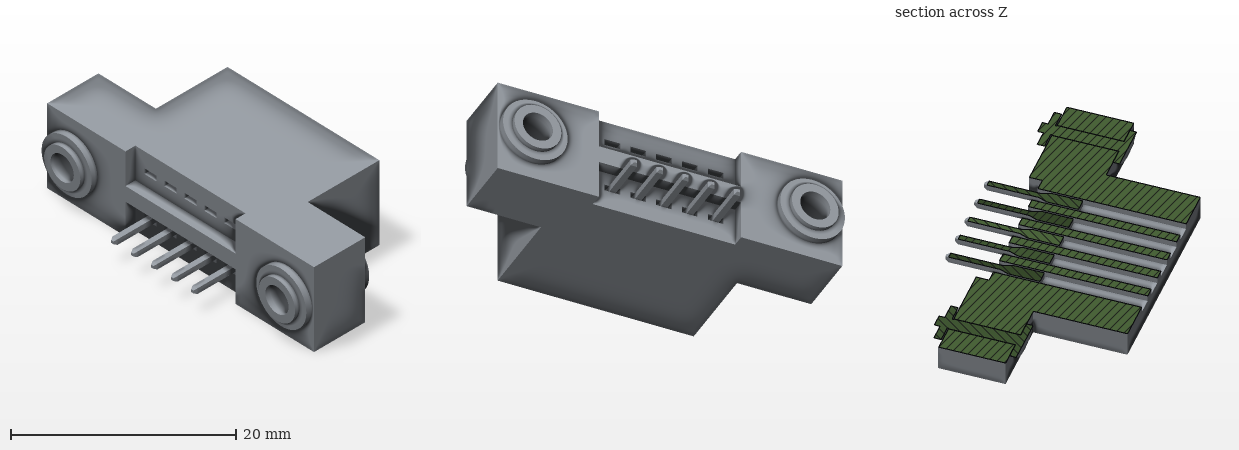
import cadquery as cq

flange_width = 33.91
flange_depth = 6.35
housing_height = 9.4
block_width = 19.3
housing_depth = 15.22

recess_width = 14.0
recess_depth = 1.22
rib_height = 1.74

contact_count = 5
contact_pitch = 2.54
row_offset = 2.5
slot_width = 1.55
slot_height = 0.62

pin_width = 0.62
pin_height = slot_height
pin_reach = 3.5
pin_tip_length = 0.33
pin_tip_size = 0.3
blade_width = 1.27
blade_length = 3.0
shoulder_inset = 0.5
shoulder_start = recess_depth + shoulder_inset
shoulder_length = 0.85

bushing_spacing = 27.3
bushing_collar_diameter = 6.35
bushing_barrel_diameter = 4.6
bushing_bore_diameter = 2.95
rear_collar_thickness = 0.62
front_collar_gap = 0.1
front_collar_thickness = 0.72
bushing_front_reach = 1.36

contact_xs = [(i - (contact_count - 1) / 2) * contact_pitch for i in range(contact_count)]
bushing_xs = [-bushing_spacing / 2, bushing_spacing / 2]


def block(width, height, front_y, back_y, x=0, z=0):
    """Box centred on (x, z) that spans front_y to back_y."""
    return (
        cq.Workplane("XY")
        .box(width, back_y - front_y, height)
        .translate((x, (front_y + back_y) / 2, z))
    )


def cylinder(diameter, front_y, back_y, x):
    """Cylinder along Y at mid height, from front_y to back_y."""
    return (
        cq.Workplane("XZ", origin=(x, front_y, 0))
        .circle(diameter / 2)
        .extrude(front_y - back_y)
    )


def make_housing():
    body = block(flange_width, housing_height, 0, flange_depth)
    body = body.union(block(block_width, housing_height, 0, housing_depth))

    recess_height = (housing_height - rib_height) / 2
    recess_z = (housing_height + rib_height) / 4
    for side in (1, -1):
        body = body.cut(block(recess_width, recess_height, 0, recess_depth, z=side * recess_z))
        for x in contact_xs:
            slot = block(slot_width, slot_height, 0, housing_depth, x, side * row_offset)
            body = body.cut(slot)

    for x in bushing_xs:
        body = body.cut(cylinder(bushing_barrel_diameter, 0, flange_depth, x))
    return body


def make_pin(x):
    """Contact of the lower row, with a tapered tip at its front end."""
    tip_base_y = pin_tip_length - pin_reach
    blade_start = shoulder_start + shoulder_length
    outline = [
        (pin_width / 2, tip_base_y),
        (pin_width / 2, shoulder_start),
        (blade_width / 2, blade_start),
        (blade_width / 2, blade_start + blade_length),
    ]
    mirrored = [(-px, py) for px, py in reversed(outline)]
    shank = (
        cq.Workplane("XY", origin=(0, 0, -pin_height / 2))
        .polyline(outline + mirrored)
        .close()
        .extrude(pin_height)
    )
    tip = (
        cq.Workplane("XZ", origin=(0, tip_base_y, 0))
        .rect(pin_width, pin_height)
        .workplane(offset=pin_tip_length)
        .rect(pin_tip_size, pin_tip_size)
        .loft(ruled=True)
    )
    return shank.union(tip).translate((x, 0, -row_offset))


def make_bushing(x):
    """Barrel through the flange, with a collar at each side and a bore."""
    rear_y = flange_depth + rear_collar_thickness
    collar_back_y = -front_collar_gap
    collar_front_y = collar_back_y - front_collar_thickness
    body = cylinder(bushing_barrel_diameter, -bushing_front_reach, rear_y, x)
    body = body.union(cylinder(bushing_collar_diameter, flange_depth, rear_y, x))
    body = body.union(cylinder(bushing_collar_diameter, collar_front_y, collar_back_y, x))
    return body.cut(cylinder(bushing_bore_diameter, -bushing_front_reach, rear_y, x))


housing = make_housing()
pins = [make_pin(x) for x in contact_xs]
bushings = [make_bushing(x) for x in bushing_xs]

result = cq.Compound.makeCompound(
    [
        housing.val(),
        *[pin.val() for pin in pins],
        *[bushing.val() for bushing in bushings],
    ]
)